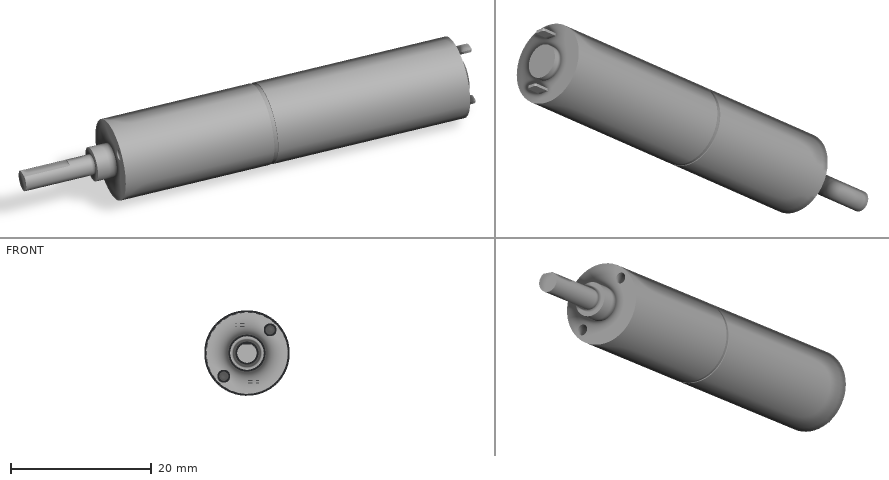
import cadquery as cq

total_length = 68.8
shaft_length = 10.6
collar_length = 2.9
terminal_length = 2.6
body_length = total_length - shaft_length - collar_length - terminal_length
rear_boss_length = 1.25
groove_width = 0.6
groove_center_from_rear = 29.65

body_diameter = 12.0
groove_depth = 0.15
collar_diameter = 5.0
shaft_diameter = 3.0

flat_length = 6.95
flat_depth = 0.2

hole_diameter = 1.6
hole_depth = 2.05
hole_offset = 3.3

terminal_width = 1.6
terminal_thickness = 0.4
terminal_height = 4.05
terminal_corner_radius = 0.35

collar_start = shaft_length
body_start = collar_start + collar_length
body_end = body_start + body_length
groove_start = body_end - groove_center_from_rear - groove_width / 2


def cylinder(diameter, start, length):
    """Cylinder on the Y axis, growing toward +Y from the given station."""
    plane = cq.Plane(origin=(0, start, 0), xDir=(1, 0, 0), normal=(0, 1, 0))
    return cq.Workplane(plane).circle(diameter / 2).extrude(length)


def groove_ring():
    outer = cylinder(2 * body_diameter, groove_start, groove_width)
    return outer.cut(cylinder(body_diameter - 2 * groove_depth, groove_start, groove_width))


def flatted_shaft():
    shaft = cylinder(shaft_diameter, 0, shaft_length)
    flat_cutter = cq.Workplane("XY").box(
        shaft_diameter, flat_length, shaft_diameter, centered=(True, False, False)
    )
    return shaft.cut(flat_cutter.translate((0, 0, shaft_diameter / 2 - flat_depth)))


def terminal(side):
    """Flat tab: side -1 is the upper tab at -X, side +1 the lower tab at +X."""
    tab = (
        cq.Workplane("XY")
        .box(terminal_width, terminal_length, terminal_thickness, centered=(True, False, True))
        .edges("|Z and >Y")
        .fillet(terminal_corner_radius)
    )
    return tab.translate((side * terminal_width / 2, body_end, -side * terminal_height))


result = cylinder(body_diameter, body_start, body_length).cut(groove_ring())

result = result.union(cylinder(collar_diameter, collar_start, collar_length))
result = result.union(flatted_shaft())
result = result.union(cylinder(collar_diameter, body_end, rear_boss_length))

for side in (-1, 1):
    hole = cylinder(hole_diameter, body_start, hole_depth)
    result = result.cut(hole.translate((side * hole_offset, 0, side * hole_offset)))
    result = result.union(terminal(side))